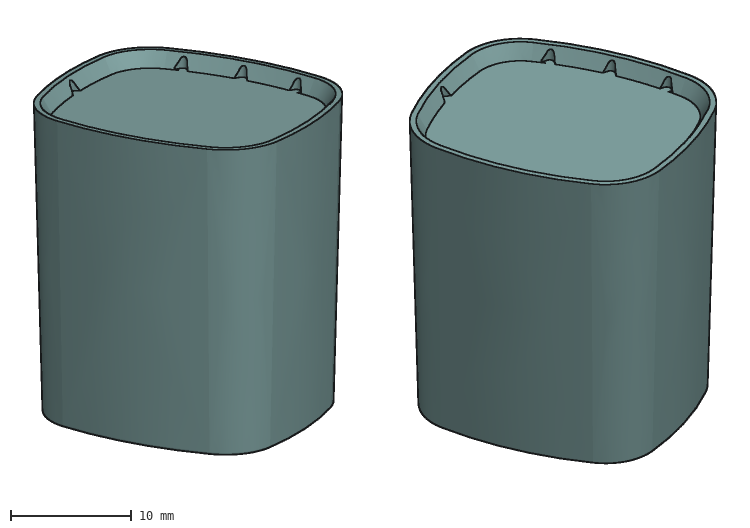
import cadquery as cq

height = 27.3
length_x = 23.61
width_y = 21.15
corner_x = 7.05
corner_y = 5.51
long_side_bow = 0.8
short_side_bow = 0.52
corner_radius = 5.51
body_draft = 1.5
bottom_fillet = 0.27

rim_width = 0.55
recess_depth = 1.36
recess_draft = 30.0

notch_mouth_width = 1.3
notch_tip_width = 0.76
notch_length = 0.65
notch_tip_rise = 0.27
notch_rim_gap = 0.2
outer_notch_x = 5.32
outer_notch_setback = 0.46

half_x = length_x / 2
half_y = width_y / 2


def rim_profile():
    """Closed rounded outline with four bowed sides, at the top of the body."""
    side_x = half_x - short_side_bow
    side_y = half_y - long_side_bow
    return (
        cq.Workplane("XY")
        .workplane(offset=height)
        .moveTo(-corner_x, side_y)
        .threePointArc((0, half_y), (corner_x, side_y))
        .radiusArc((side_x, corner_y), corner_radius)
        .threePointArc((half_x, 0), (side_x, -corner_y))
        .radiusArc((corner_x, -side_y), corner_radius)
        .threePointArc((0, -half_y), (-corner_x, -side_y))
        .radiusArc((-side_x, -corner_y), corner_radius)
        .threePointArc((-half_x, 0), (-side_x, corner_y))
        .radiusArc((-corner_x, side_y), corner_radius)
        .close()
    )


def notch(tip_distance, offset, angle):
    """Upright notch pointing along +Y to tip_distance, shifted along X, then turned about Z."""
    mouth = notch_mouth_width / 2
    tip = notch_tip_width / 2
    mouth_distance = tip_distance - notch_length
    shoulder_distance = tip_distance - notch_tip_rise
    return (
        cq.Workplane("XY")
        .workplane(offset=height - recess_depth)
        .moveTo(offset - mouth, mouth_distance)
        .lineTo(offset - tip, shoulder_distance)
        .threePointArc((offset, tip_distance), (offset + tip, shoulder_distance))
        .lineTo(offset + mouth, mouth_distance)
        .close()
        .extrude(recess_depth)
        .rotate((0, 0, 0), (0, 0, 1), angle)
    )


body = rim_profile().extrude(-height, taper=body_draft)
body = body.faces("<Z").edges().fillet(bottom_fillet)

recess = rim_profile().offset2D(-rim_width).extrude(-recess_depth, taper=recess_draft)
result = body.cut(recess)

tip_inset = rim_width + notch_rim_gap
for turn in (0, 180):
    result = result.cut(notch(half_y - tip_inset, 0, turn))
    result = result.cut(notch(half_x - tip_inset, 0, turn + 90))
    for side in (-1, 1):
        outer_tip = half_y - tip_inset - outer_notch_setback
        result = result.cut(notch(outer_tip, side * outer_notch_x, turn))